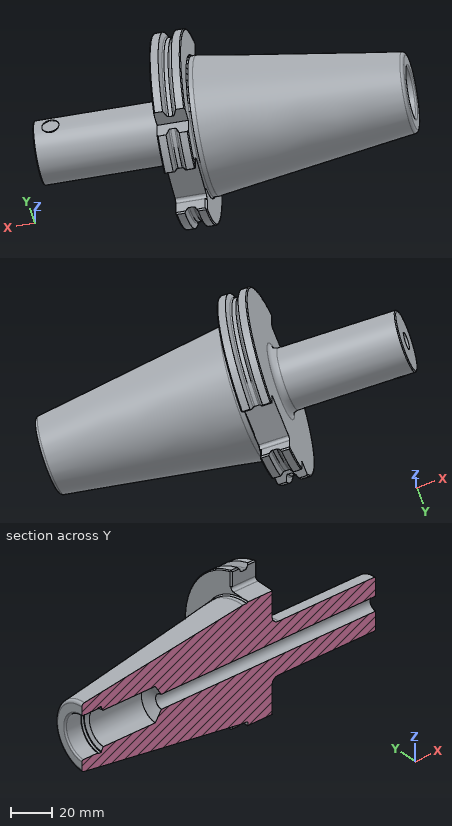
import cadquery as cq
import math

total_length = 185.7
gauge_x = 101.8
flange_front_x = 105.0
flange_back_x = 120.5
flange_width = flange_back_x - flange_front_x
flange_middle_x = (flange_front_x + flange_back_x) / 2

gauge_radius = 35.0
taper_ratio = 7 / 24
nose_fillet = 1.9
collar_fillet = 0.7

flange_radius = 48.7
flange_chamfer = 0.5
groove_floor_width = 3.2
groove_depth = 3.0
groove_flank_angle = 30
groove_fillet = 1.0

slot_width = 25.6
upper_slot_floor = 35.5
lower_slot_floor = 37.3
slot_fillet = 1.9
slot_bevel = 1.0
notch_y = 30.3
notch_z = 29.9

arbor_radius = 16.0
arbor_fillet = 3.7
arbor_chamfer = 0.5

mouth_fillet = 1.0
socket_radius = 12.8
undercut_radius = 13.4
undercut_front_x = 10.4
undercut_back_x = 12.3
thread_radius = 10.5
lead_in_angle = 120
drilled_depth = 46.5
drill_point_angle = 118
coolant_radius = 4.3

screw_radius = 4.3
screw_end_distance = 9.0
screw_x = total_length - screw_end_distance
screw_hole_depth = 7.5

edge_reach = 0.02
cut_clearance = 1.9


def revolve_about_x(outline):
    return outline.close().revolve(360, (0, 0, 0), (1, 0, 0))


def circle_at(x, radius):
    """Selector for the circular edge of this radius, or less, around the X axis."""
    return cq.selectors.BoxSelector(
        (x - edge_reach, -radius - edge_reach, -radius - edge_reach),
        (x + edge_reach, radius + edge_reach, radius + edge_reach),
        boundingbox=True,
    )


def shank_and_flange():
    nose_radius = gauge_radius - gauge_x * taper_ratio / 2
    outline = (
        cq.Workplane("XZ")
        .lineTo(0, nose_radius)
        .lineTo(gauge_x, gauge_radius)
        .lineTo(flange_front_x, gauge_radius)
        .lineTo(flange_front_x, flange_radius)
        .lineTo(flange_back_x, flange_radius)
        .lineTo(flange_back_x, arbor_radius)
        .lineTo(total_length, arbor_radius)
        .lineTo(total_length, 0)
    )
    body = revolve_about_x(outline)
    body = body.edges(circle_at(0, nose_radius)).fillet(nose_fillet)
    body = body.edges(circle_at(flange_front_x, gauge_radius)).fillet(collar_fillet)
    body = body.edges(circle_at(flange_back_x, arbor_radius)).fillet(arbor_fillet)
    body = body.edges(circle_at(total_length, arbor_radius)).chamfer(arbor_chamfer)
    rim_edges = circle_at(flange_front_x, flange_radius) + circle_at(flange_back_x, flange_radius)
    return body.edges(rim_edges).chamfer(flange_chamfer)


def gripper_groove():
    """Ring with the section of the V groove, to be cut from the rim of the flange."""
    floor_radius = flange_radius - groove_depth
    half_floor = groove_floor_width / 2
    half_mouth = half_floor + groove_depth * math.tan(math.radians(groove_flank_angle))
    front_corner_x = flange_middle_x - half_floor
    back_corner_x = flange_middle_x + half_floor
    outline = (
        cq.Workplane("XZ")
        .moveTo(flange_middle_x - half_mouth, flange_radius + cut_clearance)
        .lineTo(flange_middle_x - half_mouth, flange_radius)
        .lineTo(front_corner_x, floor_radius)
        .lineTo(back_corner_x, floor_radius)
        .lineTo(flange_middle_x + half_mouth, flange_radius)
        .lineTo(flange_middle_x + half_mouth, flange_radius + cut_clearance)
    )
    floor_corners = circle_at(front_corner_x, floor_radius) + circle_at(back_corner_x, floor_radius)
    return revolve_about_x(outline).edges(floor_corners).fillet(groove_fillet)


def cone_length(large_radius, small_radius, full_angle):
    return (large_radius - small_radius) / math.tan(math.radians(full_angle / 2))


def bore():
    """Mouth, socket, undercut, threaded hole and coolant passage as one cutter."""
    lead_in_end = undercut_back_x + cone_length(socket_radius, thread_radius, lead_in_angle)
    drill_tip_end = drilled_depth + cone_length(thread_radius, coolant_radius, drill_point_angle)
    outline = (
        cq.Workplane("XZ")
        .lineTo(0, socket_radius + mouth_fillet)
        .radiusArc((mouth_fillet, socket_radius), -mouth_fillet)
        .lineTo(undercut_front_x, socket_radius)
        .lineTo(undercut_front_x, undercut_radius)
        .lineTo(undercut_back_x, undercut_radius)
        .lineTo(undercut_back_x, socket_radius)
        .lineTo(lead_in_end, thread_radius)
        .lineTo(drilled_depth, thread_radius)
        .lineTo(drill_tip_end, coolant_radius)
        .lineTo(total_length, coolant_radius)
        .lineTo(total_length, 0)
    )
    return revolve_about_x(outline)


def drive_slot(floor):
    """Open slot across the top of the flange, with bevelled wall edges."""
    half_slot = slot_width / 2
    channel = (
        cq.Workplane("XY", origin=(flange_middle_x, 0, floor))
        .box(flange_width, slot_width, flange_radius, centered=(True, True, False))
        .edges("|X and <Z")
        .fillet(slot_fillet)
    )
    face_bevels = (
        cq.Workplane("XY", origin=(flange_middle_x, 0, floor + slot_fillet))
        .moveTo(-flange_width / 2, half_slot + slot_bevel)
        .lineTo(-flange_width / 2 + slot_bevel, half_slot)
        .lineTo(-flange_width / 2 + slot_bevel, -half_slot)
        .lineTo(-flange_width / 2, -half_slot - slot_bevel)
        .close()
        .extrude(flange_radius)
    )
    wall_top = math.sqrt(flange_radius**2 - half_slot**2) - slot_bevel
    flare = flange_radius - wall_top
    rim_bevels = (
        cq.Workplane("YZ", origin=(flange_front_x, 0, wall_top))
        .moveTo(-half_slot, 0)
        .lineTo(half_slot, 0)
        .lineTo(half_slot + flare, flare)
        .lineTo(-half_slot - flare, flare)
        .close()
        .extrude(flange_width)
    )
    return channel.union(face_bevels).union(rim_bevels)


def corner_notch():
    """Square step across the rim on the +Y, -Z side."""
    return (
        cq.Workplane("XY", origin=(flange_front_x, notch_y, -notch_z - flange_radius))
        .box(flange_width, flange_radius, flange_radius, centered=False)
    )


def screw_cylinder(outer_y):
    """Cylinder along Y from the bottom of the screw hole out to outer_y."""
    inner_y = arbor_radius - screw_hole_depth
    return (
        cq.Workplane("XZ", origin=(screw_x, inner_y, 0))
        .circle(screw_radius)
        .extrude(inner_y - outer_y)
    )


holder = shank_and_flange().cut(gripper_groove())
holder = holder.cut(drive_slot(upper_slot_floor))
holder = holder.cut(drive_slot(lower_slot_floor).rotate((0, 0, 0), (1, 0, 0), 180))
holder = holder.cut(corner_notch())
holder = holder.cut(bore())
holder = holder.cut(screw_cylinder(arbor_radius + cut_clearance))

screw = screw_cylinder(arbor_radius)

result = cq.Compound.makeCompound([holder.val(), screw.val()])